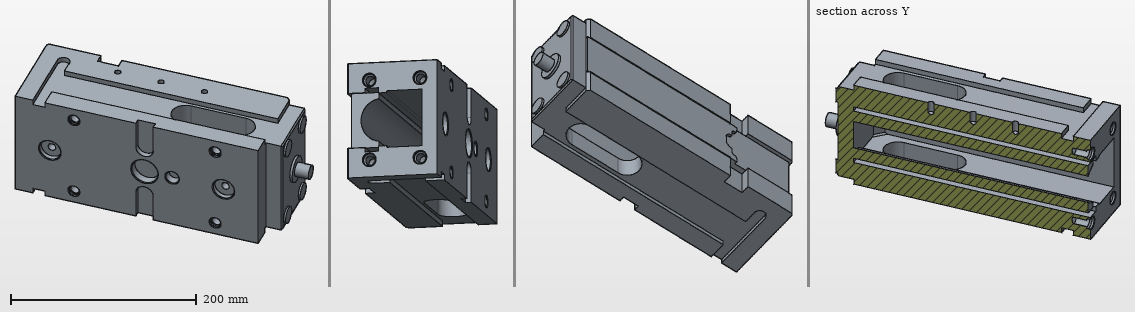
import cadquery as cq
import math

total_length = 317.8
body_length = 280.0
body_depth = 100.0
body_height = 126.0
half_height = body_height / 2
axis_y = 61.3

cavity_floor_y = 17.0
cavity_roof_y = 55.0
cavity_half_height = 31.0
neck_half_height = 29.2
neck_radius = (cavity_half_height - neck_half_height) / 2
slide_half_height = 30.2
key_start_y = 65.0
key_end_y = 80.0
key_half_height = 35.0
ramp_size = 9.5
ramp_corner_chamfer = 2.0

slide_start_x = 3.0
slide_bottom_y = 65.5
slide_back_y = 96.0
bore_radius = 23.8
pad_start_x = 76.3
pad_back_y = 99.0

groove_depth = 6.0
groove_start_x = 20.3
groove_width = 14.0
groove_end_x = groove_start_x + groove_width
groove_tip_y = 83.3
rail_start_y = 21.0
rail_end_y = 60.7
window_start_x = 165.3
window_end_x = 260.3
window_width = 31.8
window_y = 41.3

back_notch_start_x = 61.5
back_notch_end_x = 85.8
back_notch_depth = 10.5
front_corner_chamfer = 2.0
rear_corner_chamfer = 3.5

key_slot_x = 149.0
key_slot_width = 20.0
key_slot_depth = 6.5
key_slot_tip_z = 20.5
locating_bore_diameter = 30.0
pin_bore_x = 180.8
pin_bore_diameter = 15.0
locating_bore_depth = 10.2
locating_chamfer = 1.0
screw_xs = (40.0, 240.0)
screw_diameter = 8.5
screw_head_diameter = 24.0
screw_head_depth = 6.5

face_thread_mouth = 14.0
face_thread_diameter = 12.0
face_thread_core = 10.2
end_thread_mouth = 15.3
end_thread_diameter = 14.0
end_thread_core = 10.2
thread_depth = 3.2
core_depth = 20.5
face_thread_xs = (67.7, 230.5)
face_thread_z = 48.0
end_thread_ys = (19.0, 75.3)
end_thread_z = 44.0
small_hole_xs = (89.0, 139.0, 188.8)
small_hole_y = 78.8
small_hole_diameter = 6.7
small_hole_depth = 12.7

cap_end_x = 299.0
cap_start_y = 23.5
cap_end_y = 96.0
cap_half_height = half_height - groove_depth
cap_chamfer = 1.5
cap_screw_ys = (37.2, 82.3)
cap_screw_z = 45.0
cap_screw_diameter = 19.0
cap_screw_height = 2.2
collar_diameter = 30.0
collar_height = 3.0
shaft_diameter = 16.0

DRILL_TIP = 0.5 / math.tan(math.radians(59))
INTO_PART = {"X": cq.Vector(1, 0, 0), "Y": cq.Vector(0, 1, 0), "Z": cq.Vector(0, 0, -1)}


def block(x_range, y_range, z_range):
    """Box filling the given ranges."""
    size = [span[1] - span[0] for span in (x_range, y_range, z_range)]
    corner = (x_range[0], y_range[0], z_range[0])
    return cq.Workplane("XY").box(*size, centered=False).translate(corner)


def rod(start, direction, diameter, length):
    """Cylinder growing from its start point."""
    return cq.Workplane(cq.Solid.makeCylinder(diameter / 2, length, cq.Vector(*start), direction))


def cone(start, direction, start_diameter, end_diameter, length):
    """Cone growing from its start point."""
    solid = cq.Solid.makeCone(start_diameter / 2, end_diameter / 2, length, cq.Vector(*start), direction)
    return cq.Workplane(solid)


def drilled_hole(start, axis, diameter, depth):
    """Blind hole with a conical drill tip."""
    direction = INTO_PART[axis]
    tip = cq.Vector(*start) + direction * depth
    tip_cone = cone(tip.toTuple(), direction, diameter, 0, diameter * DRILL_TIP)
    return rod(start, direction, diameter, depth).union(tip_cone)


def threaded_hole(start, axis, mouth, thread, core):
    """Chamfered mouth and thread diameter, tapering at 45 degrees into the core drilling."""
    direction = INTO_PART[axis]
    thread_end = (cq.Vector(*start) + direction * thread_depth).toTuple()
    hole = drilled_hole(start, axis, core, core_depth)
    hole = hole.union(rod(start, direction, thread, thread_depth))
    hole = hole.union(cone(thread_end, direction, thread, core, (thread - core) / 2))
    return hole.union(cone(start, direction, mouth, thread, (mouth - thread) / 2))


def chamfered_bore(x, diameter, depth):
    """Flat-bottomed bore in the mounting face with a small edge chamfer."""
    start = (x, 0, 0)
    mouth = cone(start, INTO_PART["Y"], diameter + 2 * locating_chamfer, diameter, locating_chamfer)
    return rod(start, INTO_PART["Y"], diameter, depth).union(mouth)


def both_sides(shape):
    """The shape together with its mirror image in Z = 0."""
    return shape.union(shape.mirror("XY"))


def make_body():
    return (
        cq.Workplane("XY")
        .box(body_length, body_depth, body_height, centered=(False, False, True))
        .edges("|Z and >Y and <X")
        .chamfer(front_corner_chamfer)
        .edges("|Z and >Y and >X")
        .chamfer(rear_corner_chamfer)
    )


def channel_cut():
    """Cavity with an end ramp, narrower neck, key grooves and the channel open to the back."""
    half_channel = (
        cq.Workplane("YZ")
        .moveTo(cavity_floor_y, 0)
        .lineTo(cavity_floor_y, cavity_half_height)
        .lineTo(cavity_roof_y, cavity_half_height)
        .radiusArc((cavity_roof_y + neck_radius, cavity_half_height - neck_radius), neck_radius)
        .radiusArc((cavity_roof_y + 2 * neck_radius, neck_half_height), -neck_radius)
        .lineTo(key_start_y, neck_half_height)
        .lineTo(key_start_y, key_half_height)
        .lineTo(key_end_y, key_half_height)
        .lineTo(key_end_y, slide_half_height)
        .lineTo(body_depth, slide_half_height)
        .lineTo(body_depth, 0)
        .close()
        .extrude(body_length)
    )
    channel = both_sides(half_channel)
    ramp = (
        cq.Workplane("XY", origin=(0, 0, -cavity_half_height))
        .moveTo(body_length - ramp_size, cavity_floor_y)
        .lineTo(body_length, cavity_floor_y)
        .lineTo(body_length, cavity_floor_y + ramp_size)
        .close()
        .extrude(2 * cavity_half_height)
    )
    return channel.cut(ramp).edges("|(1,1,0)").chamfer(ramp_corner_chamfer)


def make_pad():
    """Raised pad on the slide whose front edge steps inward twice towards the middle."""
    step_radius = 3.2
    outer_z = 24.0
    shoulder_z = outer_z - 2 * step_radius
    inner_z = 11.8
    inner_radius = 8.0
    shoulder_x = pad_start_x + 2 * step_radius
    inner_x = shoulder_x + inner_radius
    half_pad = (
        cq.Workplane("XZ", origin=(0, pad_back_y, 0))
        .moveTo(body_length, 0)
        .lineTo(body_length, slide_half_height)
        .lineTo(pad_start_x, slide_half_height)
        .lineTo(pad_start_x, outer_z)
        .radiusArc((pad_start_x + step_radius, outer_z - step_radius), -step_radius)
        .radiusArc((shoulder_x, shoulder_z), step_radius)
        .lineTo(shoulder_x, inner_z)
        .radiusArc((inner_x, inner_z - inner_radius), inner_radius)
        .lineTo(inner_x, 0)
        .close()
        .extrude(pad_back_y - slide_back_y)
    )
    return both_sides(half_pad)


def make_slide():
    slide_z = (-slide_half_height, slide_half_height)
    slide = block((slide_start_x, body_length), (slide_bottom_y, slide_back_y), slide_z)
    bore = rod((0, axis_y, 0), INTO_PART["X"], 2 * bore_radius, body_length)
    return slide.cut(bore).union(make_pad())


def side_grooves():
    """Rail recess and round-ended cross groove in both Z faces."""
    depth_range = (half_height - groove_depth, half_height)
    tip_centre_y = groove_tip_y - groove_width / 2
    tip = (groove_start_x + groove_width / 2, tip_centre_y, half_height)
    cross = block((groove_start_x, groove_end_x), (0, tip_centre_y), depth_range)
    cross = cross.union(rod(tip, INTO_PART["Z"], groove_width, groove_depth))
    rail = block((groove_end_x, body_length), (rail_start_y, rail_end_y), depth_range)
    return both_sides(cross.union(rail))


def window_cut():
    """Round-ended window through the whole height."""
    return (
        cq.Workplane("XY", origin=((window_start_x + window_end_x) / 2, window_y, 0))
        .slot2D(window_end_x - window_start_x, window_width)
        .extrude(half_height, both=True)
    )


def key_slots():
    """Two round-ended key slots running in from the Z faces of the mounting face."""
    centre_z = key_slot_tip_z + key_slot_width / 2
    x_range = (key_slot_x - key_slot_width / 2, key_slot_x + key_slot_width / 2)
    slot = block(x_range, (0, key_slot_depth), (centre_z, half_height))
    slot_end = rod((key_slot_x, 0, centre_z), INTO_PART["Y"], key_slot_width, key_slot_depth)
    return both_sides(slot.union(slot_end))


def screw_hole(x):
    """Counterbored screw hole from the mounting face into the cavity."""
    hole = rod((x, 0, 0), INTO_PART["Y"], screw_diameter, cavity_floor_y)
    return hole.union(chamfered_bore(x, screw_head_diameter, screw_head_depth))


def make_cap():
    cap = block((body_length, cap_end_x), (cap_start_y, cap_end_y), (-cap_half_height, cap_half_height))
    cap = cap.faces(">X").edges().chamfer(cap_chamfer)
    for y in cap_screw_ys:
        for z in (-cap_screw_z, cap_screw_z):
            cap = cap.union(rod((cap_end_x, y, z), INTO_PART["X"], cap_screw_diameter, cap_screw_height))
    shaft_start = (cap_end_x, axis_y, 0)
    cap = cap.union(rod(shaft_start, INTO_PART["X"], collar_diameter, collar_height))
    return cap.union(rod(shaft_start, INTO_PART["X"], shaft_diameter, total_length - cap_end_x))


body = make_body().cut(channel_cut()).cut(side_grooves()).cut(key_slots())
body = body.cut(
    block(
        (back_notch_start_x, back_notch_end_x),
        (body_depth - back_notch_depth, body_depth),
        (-half_height, half_height),
    )
)

body = body.cut(chamfered_bore(key_slot_x, locating_bore_diameter, locating_bore_depth))
body = body.cut(chamfered_bore(pin_bore_x, pin_bore_diameter, locating_bore_depth))
for screw_x in screw_xs:
    body = body.cut(screw_hole(screw_x))

for side in (-1, 1):
    for x in face_thread_xs:
        start = (x, 0, side * face_thread_z)
        body = body.cut(threaded_hole(start, "Y", face_thread_mouth, face_thread_diameter, face_thread_core))
    for y in end_thread_ys:
        start = (0, y, side * end_thread_z)
        body = body.cut(threaded_hole(start, "X", end_thread_mouth, end_thread_diameter, end_thread_core))
for x in small_hole_xs:
    body = body.cut(drilled_hole((x, small_hole_y, half_height), "Z", small_hole_diameter, small_hole_depth))

result = body.union(make_slide()).union(make_cap()).cut(window_cut())